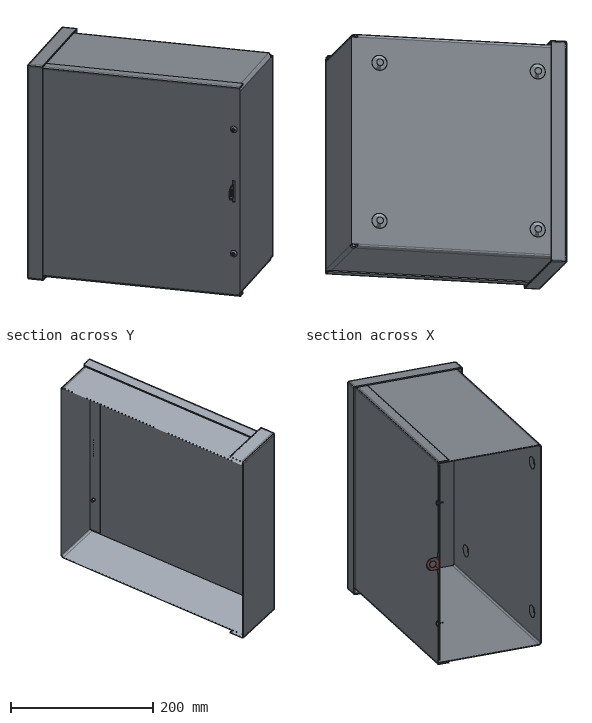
import cadquery as cq

LENGTH = 311.0
HEIGHT = 320.7
SHEET = 2.0

CAP_DEPTH = 22.8
CAP_BACK = SHEET
CAP_FRONT = -166.0
CAP_BEND = 3.0

DOOR_CLEARANCE = 2.0
DOOR_FRONT = -160.5
DOOR_FLANGE = 17.3
DOOR_BEND = 3.0
DOOR_CORNER_RADIUS = 2.5
DOOR_HEIGHT = HEIGHT - 2 * (SHEET + DOOR_CLEARANCE)

BOX_START = SHEET
BOX_FRONT = DOOR_FRONT + SHEET
BOX_HEIGHT = DOOR_HEIGHT - 2 * SHEET
BOX_BEND = 4.8
LIP_WIDTH = 19.2
RELIEF_SIZE = 9.0

BOSS_HEIGHT = 3.5
BOSS_BASE_DIAMETER = 21.8
BOSS_TOP_DIAMETER = 9.5
BOSS_PITCH = 228.5
BOSS_MIDDLE_X = (BOX_START + LENGTH) / 2

SCREW_X = 302.0
SCREW_SPACING = 185.5
HEAD_DIAMETER = 9.5
HEAD_HEIGHT = 3.0
SHANK_DIAMETER = 4.2
SHANK_LENGTH = 8.0
RECESS_LENGTH = 4.5
RECESS_WIDTH = 1.5
RECESS_DEPTH = 1.5

SLOT_X = 300.0
SLOT_WIDTH = 3.5
SLOT_HEIGHT = 31.0
HASP_THICKNESS = 1.3
HASP_DIAMETER = 19.2
HASP_HOLE_DIAMETER = 9.5
HASP_TIP = -177.3


def block(x_range, y_range, height):
    """Block between two X and two Y values, with its height centred on Z = 0."""
    length = x_range[1] - x_range[0]
    depth = y_range[1] - y_range[0]
    middle = (sum(x_range) / 2, sum(y_range) / 2, 0)
    return cq.Workplane("XY").box(length, depth, height).translate(middle)


def rod(x, z, y_start, length, diameter):
    """Cylinder along +Y."""
    plane = cq.Plane(origin=(x, y_start, z), xDir=(1, 0, 0), normal=(0, 1, 0))
    return cq.Workplane(plane).circle(diameter / 2).extrude(length)


def screw_heights():
    return (-SCREW_SPACING / 2, SCREW_SPACING / 2)


def bent_block(inset, bend):
    """Box outline moved inwards by the inset, with its back and end edges rounded."""
    shape = block((BOX_START, LENGTH - inset), (BOX_FRONT, -inset), BOX_HEIGHT - 2 * inset)
    end_edges = cq.selectors.BoxSelector(
        (LENGTH - BOX_BEND, BOX_FRONT + SHEET, -HEIGHT), (LENGTH + BOX_BEND, -BOX_BEND, HEIGHT)
    )
    back_edges = shape.faces(">Y").edges("|X").vals()
    return shape.newObject(back_edges + shape.edges(end_edges).vals()).edges().fillet(bend)


def boss(x, z, inset):
    """Truncated cone on the back wall, moved inwards by the inset."""
    plane = cq.Plane(origin=(x, -inset, z), xDir=(1, 0, 0), normal=(0, 1, 0))
    return (
        cq.Workplane(plane)
        .circle(BOSS_BASE_DIAMETER / 2 - inset)
        .workplane(offset=BOSS_HEIGHT)
        .circle(BOSS_TOP_DIAMETER / 2 - inset)
        .loft()
    )


def boss_places():
    half = BOSS_PITCH / 2
    return [(BOSS_MIDDLE_X + i * half, j * half) for i in (-1, 1) for j in (-1, 1)]


def corner_relief(side):
    """Triangular bend relief cut from the upper (side = 1) or lower (side = -1) back corner."""
    relief = (
        cq.Workplane("XY", origin=(LENGTH, 0, BOX_HEIGHT / 2))
        .polyline([(0, 0), (-RELIEF_SIZE, 0), (0, -RELIEF_SIZE)])
        .close()
        .extrude(-BOX_BEND)
    )
    return relief if side > 0 else relief.mirror("XY")


def make_box():
    box = bent_block(0, BOX_BEND).cut(bent_block(SHEET, BOX_BEND - SHEET))
    lip = block(
        (LENGTH - LIP_WIDTH, LENGTH - SHEET / 2),
        (BOX_FRONT, BOX_FRONT + SHEET),
        BOX_HEIGHT - 2 * BOX_BEND,
    )
    box = box.union(lip)
    for x, z in boss_places():
        box = box.union(boss(x, z, 0)).cut(boss(x, z, SHEET))
    for side in (-1, 1):
        box = box.cut(corner_relief(side))
    for z in screw_heights():
        box = box.cut(rod(SCREW_X, z, BOX_FRONT, SHEET, SHANK_DIAMETER))
    return box


def make_end_cap():
    outer = block((0, CAP_DEPTH), (CAP_FRONT, CAP_BACK), HEIGHT)
    outer = outer.edges("|X or <X").fillet(CAP_BEND)
    inner = block((SHEET, CAP_DEPTH), (CAP_FRONT + SHEET, CAP_BACK - SHEET), HEIGHT - 2 * SHEET)
    return outer.cut(inner)


def make_door():
    x_range = (BOX_START, LENGTH)
    outer = block(x_range, (DOOR_FRONT, DOOR_FRONT + DOOR_FLANGE), DOOR_HEIGHT)
    outer = outer.faces("<Y").edges("|X").fillet(DOOR_BEND)
    inner = block(x_range, (BOX_FRONT, DOOR_FRONT + DOOR_FLANGE), BOX_HEIGHT)
    slot = block((SLOT_X, SLOT_X + SLOT_WIDTH), (DOOR_FRONT, BOX_FRONT), SLOT_HEIGHT)
    door = outer.cut(inner).cut(slot)
    door = door.faces(">Y").edges(">X").fillet(DOOR_CORNER_RADIUS)
    for z in screw_heights():
        door = door.cut(rod(SCREW_X, z, DOOR_FRONT, SHEET, SHANK_DIAMETER))
    return door


def make_screw(z):
    """Domed screw with a cross recess, turned about an axis along Y."""
    head_radius = HEAD_DIAMETER / 2
    dome_radius = (head_radius**2 + HEAD_HEIGHT**2) / (2 * HEAD_HEIGHT)
    dome = cq.Workplane("XY").sphere(dome_radius)
    dome = dome.translate((SCREW_X, DOOR_FRONT - HEAD_HEIGHT + dome_radius, z))
    head = dome.intersect(rod(SCREW_X, z, DOOR_FRONT - HEAD_HEIGHT, HEAD_HEIGHT, HEAD_DIAMETER))
    screw = head.union(rod(SCREW_X, z, DOOR_FRONT, SHANK_LENGTH, SHANK_DIAMETER))
    recess_middle = (SCREW_X, DOOR_FRONT - HEAD_HEIGHT + RECESS_DEPTH / 2, z)
    for size_x, size_z in ((RECESS_LENGTH, RECESS_WIDTH), (RECESS_WIDTH, RECESS_LENGTH)):
        screw = screw.cut(cq.Workplane("XY").box(size_x, RECESS_DEPTH, size_z).translate(recess_middle))
    return screw


def make_hasp():
    """Plate standing on the lip of the box, with a rounded and drilled end outside the door."""
    radius = HASP_DIAMETER / 2
    eye = HASP_TIP + radius
    plane = cq.Plane(origin=(SLOT_X, 0, 0), xDir=(0, 1, 0), normal=(1, 0, 0))
    plate = (
        cq.Workplane(plane)
        .moveTo(BOX_FRONT, -radius)
        .lineTo(eye, -radius)
        .threePointArc((HASP_TIP, 0), (eye, radius))
        .lineTo(BOX_FRONT, radius)
        .close()
        .extrude(HASP_THICKNESS)
    )
    hole = cq.Workplane(plane).center(eye, 0).circle(HASP_HOLE_DIAMETER / 2).extrude(HASP_THICKNESS)
    return plate.cut(hole)


box = make_box()
end_cap = make_end_cap()
door = make_door()
screws = [make_screw(z) for z in screw_heights()]
hasp = make_hasp()

result = cq.Compound.makeCompound(
    [box.val(), end_cap.val(), door.val(), *[screw.val() for screw in screws], hasp.val()]
)